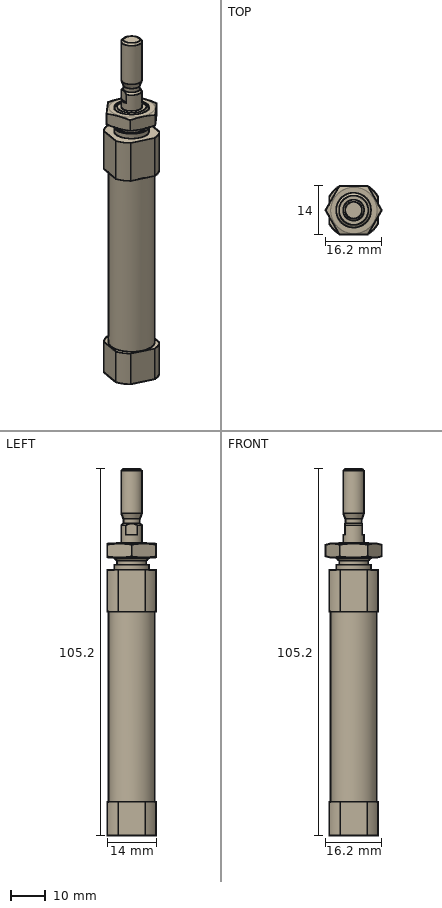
import cadquery as cq
import math


cap_across_flats = 14.0
cap_corner_diameter = 16.0
rear_cap_height = 9.7
barrel_diameter = 13.3
barrel_top = 64.2
front_cap_top = 76.2

nose_diameter = 10.0
collar_height = 1.5
groove_diameter = 8.4
groove_height = 1.1
nose_chamfer = (nose_diameter - groove_diameter) / 2
nose_top = 84.0

nut_across_flats = 14.0
nut_across_corners = nut_across_flats / math.cos(math.radians(30))
nut_bottom = 79.7
nut_height = 4.1
nut_face_diameter = 13.3
nut_chamfer_angle = 15.0

rod_diameter = 6.0
rod_top = 105.2
rod_bottom = barrel_top
neck_diameter = 4.8
rod_chamfer = (rod_diameter - neck_diameter) / 2
thread_bottom = 92.4
neck_top = 90.8
neck_bottom = 89.6
wrench_flat_bottom = 86.3
wrench_flat_width = 5.0


def revolve_profile(points):
    """Solid of revolution about Z from a closed outline of (radius, height) points."""
    return cq.Workplane("XZ").polyline(points).close().revolve(360, (0, 0, 0), (0, 1, 0))


def cylinder(diameter, bottom, top):
    return cq.Workplane("XY").workplane(offset=bottom).circle(diameter / 2).extrude(top - bottom)


def end_cap(bottom, top):
    """Square block whose four corners are rounded off by a larger coaxial cylinder."""
    square = (
        cq.Workplane("XY")
        .workplane(offset=bottom)
        .rect(cap_across_flats, cap_across_flats)
        .extrude(top - bottom)
    )
    return square.intersect(cylinder(cap_corner_diameter, bottom, top))


def threaded_nose():
    """Collar, relief groove and plain thread cylinder with 45-degree ends."""
    nose_radius = nose_diameter / 2
    groove_radius = groove_diameter / 2
    collar_top = front_cap_top + collar_height
    groove_top = collar_top + groove_height
    return revolve_profile([
        (0, front_cap_top),
        (nose_radius, front_cap_top),
        (nose_radius, collar_top),
        (groove_radius, collar_top),
        (groove_radius, groove_top),
        (nose_radius, groove_top + nose_chamfer),
        (nose_radius, nose_top - nose_chamfer),
        (groove_radius, nose_top),
        (0, nose_top),
    ])


def make_body():
    """Rear cap, barrel, front cap and nose in one piece, bored for the rod."""
    rear_cap = end_cap(0, rear_cap_height)
    barrel = cylinder(barrel_diameter, rear_cap_height, barrel_top)
    front_cap = end_cap(barrel_top, front_cap_top)
    rod_bore = cylinder(rod_diameter, rod_bottom, nose_top)
    return rear_cap.union(barrel).union(front_cap).union(threaded_nose()).cut(rod_bore)


def make_nut():
    """Hex nut with two corners on X, chamfered on both faces."""
    nut_top = nut_bottom + nut_height
    face_radius = nut_face_diameter / 2
    corner_radius = nut_across_corners / 2
    corner_drop = (corner_radius - face_radius) * math.tan(math.radians(nut_chamfer_angle))
    hexagon = (
        cq.Workplane("XY")
        .workplane(offset=nut_bottom)
        .polygon(6, nut_across_corners)
        .extrude(nut_height)
    )
    chamfer_envelope = revolve_profile([
        (0, nut_bottom),
        (face_radius, nut_bottom),
        (corner_radius, nut_bottom + corner_drop),
        (corner_radius, nut_top - corner_drop),
        (face_radius, nut_top),
        (0, nut_top),
    ])
    nut_hole = cylinder(nose_diameter, nut_bottom, nut_top)
    return hexagon.intersect(chamfer_envelope).cut(nut_hole)


def make_rod():
    """Rod with a chamfered thread end, a necked relief and two wrench flats facing X."""
    rod_radius = rod_diameter / 2
    neck_radius = neck_diameter / 2
    rod = revolve_profile([
        (0, rod_bottom),
        (rod_radius, rod_bottom),
        (rod_radius, neck_bottom - rod_chamfer),
        (neck_radius, neck_bottom),
        (neck_radius, neck_top),
        (rod_radius, thread_bottom),
        (rod_radius, rod_top - rod_chamfer),
        (neck_radius, rod_top),
        (0, rod_top),
    ])
    flat_height = neck_bottom - wrench_flat_bottom
    for side in (-1, 1):
        flat_cutter = (
            cq.Workplane("XY")
            .workplane(offset=wrench_flat_bottom)
            .center(side * (wrench_flat_width + rod_diameter) / 2, 0)
            .rect(rod_diameter, rod_diameter)
            .extrude(flat_height)
        )
        rod = rod.cut(flat_cutter)
    return rod


body = make_body()
nut = make_nut()
rod = make_rod()

result = cq.Compound.makeCompound([body.val(), nut.val(), rod.val()])